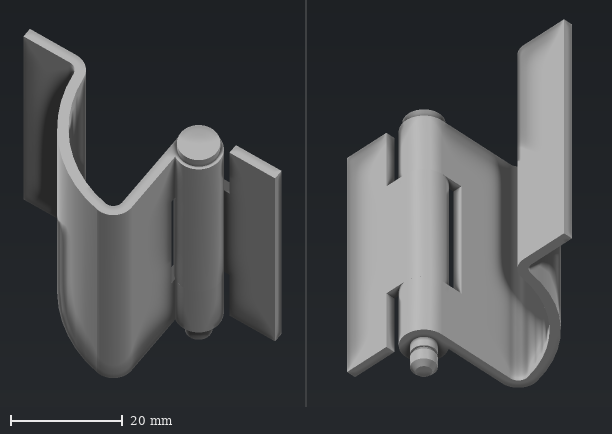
import cadquery as cq
import math

leaf_height = 50.0
pin_diameter = 5.0
head_diameter = 7.8
head_height = 2.0
total_height = 58.0
tip_chamfer = 1.0
groove_diameter = 4.2
groove_width = 0.75
groove_offset = 2.0

sheet = 2.05
pin_radius = pin_diameter / 2
knuckle_radius = pin_radius + sheet
middle_length = leaf_height / 2
end_length = (leaf_height - middle_length) / 2
clearance_radius = 5.0

flat_end_x = 14.95
bent_end_x = -40.0
bent_depth = 26.0
inner_bend_radius = 2.0
outer_bend_radius = inner_bend_radius + sheet
flange_bend_x = -29.85
bow_radius = 26.1

back_y = knuckle_radius
wall_x = -knuckle_radius
front_y = back_y - bent_depth


def offset_point(center, direction, distance):
    """Point at a distance from center along a unit direction."""
    return (center[0] + direction[0] * distance, center[1] + direction[1] * distance)


def unit(start, end):
    length = math.dist(start, end)
    return ((end[0] - start[0]) / length, (end[1] - start[1]) / length)


def bisector(first, second):
    return unit((0, 0), (first[0] + second[0], first[1] + second[1]))


def bow_center(flange_center, corner_center):
    """Center of the bow that is tangent to the flange bend and to the corner bend."""
    to_flange = bow_radius + inner_bend_radius
    to_corner = bow_radius - outer_bend_radius
    span = math.dist(flange_center, corner_center)
    along = (to_flange**2 - to_corner**2 + span**2) / (2 * span)
    across = math.sqrt(to_flange**2 - along**2)
    axis = unit(flange_center, corner_center)
    foot = offset_point(flange_center, axis, along)
    return offset_point(foot, (-axis[1], axis[0]), across)


def cylinder(radius, bottom, height):
    return cq.Workplane("XY").workplane(offset=bottom).circle(radius).extrude(height)


def block(x_min, x_max, y_min, y_max, bottom, height):
    return (
        cq.Workplane("XY")
        .box(x_max - x_min, y_max - y_min, height, centered=False)
        .translate((x_min, y_min, bottom))
    )


def bent_sheet():
    """Flange, bowed web, corner and straight wall up to the hinge axis."""
    flange_center = (flange_bend_x, back_y - outer_bend_radius)
    corner_center = (wall_x + sheet - outer_bend_radius, front_y + outer_bend_radius)
    bow = bow_center(flange_center, corner_center)

    right = (1, 0)
    up = (0, 1)
    flange_to_bow = unit(flange_center, bow)
    bow_to_flange = unit(bow, flange_center)
    bow_to_corner = unit(bow, corner_center)
    flange_mid = bisector(up, flange_to_bow)
    bow_mid = bisector(bow_to_flange, bow_to_corner)
    corner_mid = bisector(bow_to_corner, right)
    bow_inner_radius = bow_radius - sheet

    return (
        cq.Workplane("XY")
        .moveTo(bent_end_x, back_y)
        .lineTo(flange_bend_x, back_y)
        .threePointArc(
            offset_point(flange_center, flange_mid, outer_bend_radius),
            offset_point(flange_center, flange_to_bow, outer_bend_radius),
        )
        .threePointArc(
            offset_point(bow, bow_mid, bow_inner_radius),
            offset_point(bow, bow_to_corner, bow_inner_radius),
        )
        .threePointArc(
            offset_point(corner_center, corner_mid, inner_bend_radius),
            offset_point(corner_center, right, inner_bend_radius),
        )
        .lineTo(wall_x, 0)
        .lineTo(wall_x + sheet, 0)
        .lineTo(wall_x + sheet, corner_center[1])
        .threePointArc(
            offset_point(corner_center, corner_mid, outer_bend_radius),
            offset_point(corner_center, bow_to_corner, outer_bend_radius),
        )
        .threePointArc(
            offset_point(bow, bow_mid, bow_radius),
            offset_point(bow, bow_to_flange, bow_radius),
        )
        .threePointArc(
            offset_point(flange_center, flange_mid, inner_bend_radius),
            offset_point(flange_center, up, inner_bend_radius),
        )
        .lineTo(bent_end_x, back_y - sheet)
        .close()
        .extrude(leaf_height)
    )


def make_bent_leaf():
    """Bent leaf with a knuckle at each end of the hinge."""
    reach = clearance_radius
    leaf = bent_sheet().union(cylinder(knuckle_radius, 0, leaf_height))
    leaf = leaf.cut(block(-reach, reach, -reach, reach, end_length, middle_length))
    return leaf.cut(cylinder(pin_radius, 0, leaf_height))


def make_flat_leaf():
    """Flat leaf with the middle knuckle, notched clear of the end knuckles."""
    leaf = block(clearance_radius, flat_end_x, back_y - sheet, back_y, 0, leaf_height)
    tongue = block(0, clearance_radius, back_y - sheet, back_y, end_length, middle_length)
    knuckle = cylinder(knuckle_radius, end_length, middle_length)
    return leaf.union(tongue).union(knuckle).cut(cylinder(pin_radius, 0, leaf_height))


def make_pin():
    """Headed pin with a retaining groove and a chamfered tip."""
    tip_z = leaf_height + head_height - total_height
    pin = cylinder(pin_radius, tip_z, leaf_height - tip_z)
    pin = pin.faces("<Z").chamfer(tip_chamfer)
    pin = pin.union(cylinder(head_diameter / 2, leaf_height, head_height))
    groove_z = -groove_offset - groove_width
    groove = cylinder(pin_radius, groove_z, groove_width)
    groove = groove.cut(cylinder(groove_diameter / 2, groove_z, groove_width))
    return pin.cut(groove)


bent_leaf = make_bent_leaf()
flat_leaf = make_flat_leaf()
pin = make_pin()
result = cq.Compound.makeCompound([bent_leaf.val(), flat_leaf.val(), pin.val()])